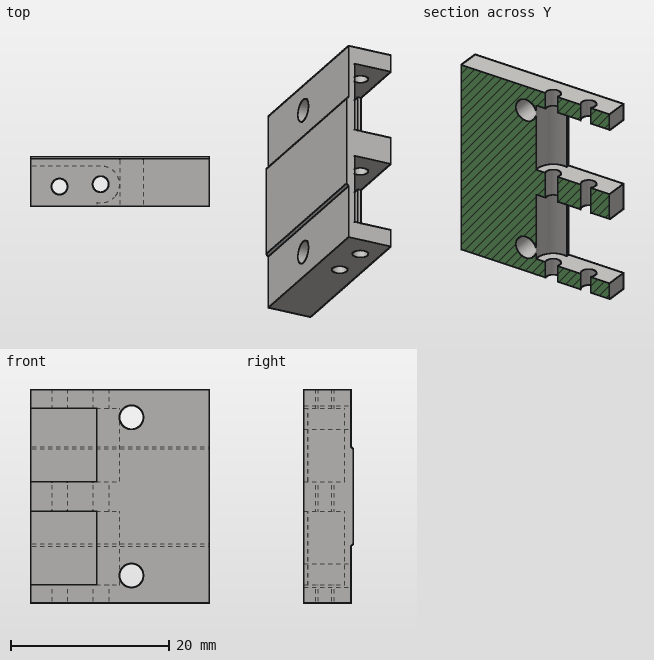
import cadquery as cq

LENGTH = 22.6
TOTAL_DEPTH = 6.3
HEIGHT = 27.0

PAD_RISE = 0.3
PAD_HEIGHT = 12.6
BODY_DEPTH = TOTAL_DEPTH - PAD_RISE

POCKET_LENGTH = 8.35
POCKET_HEIGHT = 9.3
END_WALL = 2.35
POCKET_END_RADIUS = 2.35

PIN_DIAMETER = 2.0
OUTER_PIN_X = 3.65
OUTER_PIN_Y = 2.5
INNER_PIN_X = 8.85
INNER_PIN_Y = 2.8

POCKET_DEPTH = INNER_PIN_Y + POCKET_END_RADIUS

MOUNT_DIAMETER = 3.0
MOUNT_X = 12.75
MOUNT_EDGE_DISTANCE = 3.5


def vertical_cylinder(x, y, z, diameter, height):
    return cq.Workplane("XY", origin=(x, y, z)).circle(diameter / 2).extrude(height)


def make_body():
    return cq.Workplane("XY").box(LENGTH, BODY_DEPTH, HEIGHT, centered=False)


def make_pad():
    bottom = (HEIGHT - PAD_HEIGHT) / 2
    pad = cq.Workplane("XY", origin=(0, 0, bottom)).box(LENGTH, TOTAL_DEPTH, PAD_HEIGHT, centered=False)
    return pad.faces(">Y").edges("|X").chamfer(PAD_RISE)


def make_pocket(bottom):
    """Block from the left side, with a round end that reaches behind the front wall."""
    block = cq.Workplane("XY", origin=(0, 0, bottom)).box(
        POCKET_LENGTH, POCKET_DEPTH, POCKET_HEIGHT, centered=False
    )
    back_part = cq.Workplane("XY", origin=(0, INNER_PIN_Y, bottom)).box(
        INNER_PIN_X, POCKET_END_RADIUS, POCKET_HEIGHT, centered=False
    )
    round_end = vertical_cylinder(INNER_PIN_X, INNER_PIN_Y, bottom, 2 * POCKET_END_RADIUS, POCKET_HEIGHT)
    return block.union(back_part).union(round_end)


def make_mount_hole(z):
    start = cq.Workplane("XZ", origin=(MOUNT_X, 0, z))
    return start.circle(MOUNT_DIAMETER / 2).extrude(-TOTAL_DEPTH)


result = make_body().union(make_pad())

for pocket_bottom in (END_WALL, HEIGHT - END_WALL - POCKET_HEIGHT):
    result = result.cut(make_pocket(pocket_bottom))

for pin_x, pin_y in ((OUTER_PIN_X, OUTER_PIN_Y), (INNER_PIN_X, INNER_PIN_Y)):
    result = result.cut(vertical_cylinder(pin_x, pin_y, 0, PIN_DIAMETER, HEIGHT))

for mount_z in (MOUNT_EDGE_DISTANCE, HEIGHT - MOUNT_EDGE_DISTANCE):
    result = result.cut(make_mount_hole(mount_z))